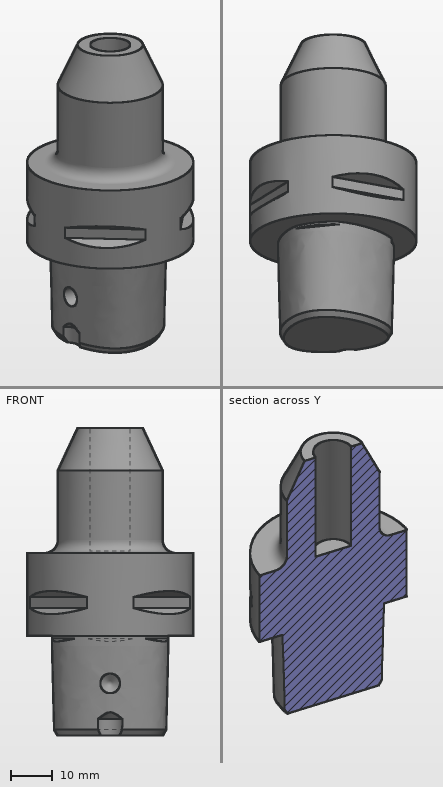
import cadquery as cq
import math

total_height = 74.0
flange_bottom = 24.0
flange_height = 20.0
flange_top = flange_bottom + flange_height

flange_radius = 20.02
nose_radius = 12.65
nose_fillet = 3.0
tip_radius = 7.85
tip_cone_height = 10.3
bore_radius = 4.8
bore_depth = 29.6

shank_radius = 13.9
lobe_height = 0.9
taper_slope = 1 / 40
straight_height = 2.45
end_chamfer_height = 1.5
end_chamfer_depth = 0.9
lobe_points = 72

relief_radius = 14.1
relief_height = 0.7
relief_slope_height = 1.5

side_hole_tip_half_angle = 59.0
notch_tip_half_angle = 49.0
side_hole_radius = 2.4
side_hole_height = 12.6
side_hole_depth = 5.2
notch_radius = 3.4
notch_height = 4.0
notch_axis_y = -14.1

groove_count = 4
groove_floor_distance = 17.55
groove_floor_bottom = 30.7
groove_floor_width = 2.6
groove_side_rise = 1.5


def turned_body():
    """Flange, nose and conical tip as one revolved profile."""
    profile = (
        cq.Workplane("XZ")
        .moveTo(0, flange_bottom)
        .lineTo(flange_radius, flange_bottom)
        .lineTo(flange_radius, flange_top)
        .lineTo(nose_radius + nose_fillet, flange_top)
        .radiusArc((nose_radius, flange_top + nose_fillet), nose_fillet)
        .lineTo(nose_radius, total_height - tip_cone_height)
        .lineTo(tip_radius, total_height)
        .lineTo(0, total_height)
        .close()
    )
    return profile.revolve(360, (0, 0, 0), (0, 1, 0))


def lobed_wire(mean_radius, height):
    """Closed three-lobed trochoid at the given height."""
    points = []
    for i in range(lobe_points):
        t = 2 * math.pi * i / lobe_points
        along_lobe = mean_radius * math.cos(t) + lobe_height * math.cos(2 * t)
        across_lobe = mean_radius * math.sin(t) - lobe_height * math.sin(2 * t)
        points.append(cq.Vector(-across_lobe, along_lobe, height))
    return cq.Wire.assembleEdges([cq.Edge.makeSpline(points, periodic=True)])


def lobed_section(bottom_radius, bottom, top_radius, top):
    """Solid between two lobed outlines."""
    wires = [lobed_wire(bottom_radius, bottom), lobed_wire(top_radius, top)]
    return cq.Workplane(obj=cq.Solid.makeLoft(wires, True))


def shank():
    taper_top = flange_bottom - straight_height
    chamfer_radius = shank_radius - (taper_top - end_chamfer_height) * taper_slope
    end_radius = chamfer_radius - end_chamfer_depth
    chamfer = lobed_section(end_radius, 0, chamfer_radius, end_chamfer_height)
    taper = lobed_section(chamfer_radius, end_chamfer_height, shank_radius, taper_top)
    straight = lobed_section(shank_radius, taper_top, shank_radius, flange_bottom)
    return chamfer.union(taper).union(straight)


def relief():
    """Ring that trims the lobes back to a cylinder, with a sloped lower side."""
    outer_radius = shank_radius + 2 * lobe_height
    step_height = flange_bottom - relief_height
    profile = (
        cq.Workplane("XZ")
        .moveTo(relief_radius, flange_bottom)
        .lineTo(relief_radius, step_height)
        .lineTo(outer_radius, step_height - relief_slope_height)
        .lineTo(outer_radius, flange_bottom)
        .close()
    )
    return profile.revolve(360, (0, 0, 0), (0, 1, 0))


def drilled_hole(radius, depth, start, direction, tip_half_angle):
    """Cylinder with a conical drill tip beyond its full-diameter depth."""
    tip_height = radius / math.tan(math.radians(tip_half_angle))
    barrel = cq.Solid.makeCylinder(radius, depth, start, direction)
    tip = cq.Solid.makeCone(radius, 0, tip_height, start + direction * depth, direction)
    return cq.Workplane(obj=barrel).union(cq.Workplane(obj=tip))


def flange_groove(angle):
    """Straight groove with a flat floor and flaring sides."""
    floor_top = groove_floor_bottom + groove_floor_width
    profile = (
        cq.Workplane("XZ")
        .moveTo(groove_floor_distance, groove_floor_bottom)
        .lineTo(flange_radius, groove_floor_bottom - groove_side_rise)
        .lineTo(flange_radius, floor_top + groove_side_rise)
        .lineTo(groove_floor_distance, floor_top)
        .close()
    )
    cutter = profile.extrude(flange_radius, both=True)
    return cutter.rotate((0, 0, 0), (0, 0, 1), angle)


result = turned_body().union(shank().cut(relief()))

bore = cq.Workplane("XY", origin=(0, 0, total_height - bore_depth)).circle(bore_radius)
result = result.cut(bore.extrude(bore_depth))

hole_start = cq.Vector(0, -shank_radius, side_hole_height)
hole_axis = cq.Vector(0, 1, 0)
side_hole = drilled_hole(side_hole_radius, side_hole_depth, hole_start, hole_axis, side_hole_tip_half_angle)
result = result.cut(side_hole)

notch_start = cq.Vector(0, notch_axis_y, 0)
notch_axis = cq.Vector(0, 0, 1)
notch = drilled_hole(notch_radius, notch_height, notch_start, notch_axis, notch_tip_half_angle)
result = result.cut(notch)

for i in range(groove_count):
    result = result.cut(flange_groove(45 + 360 / groove_count * i))